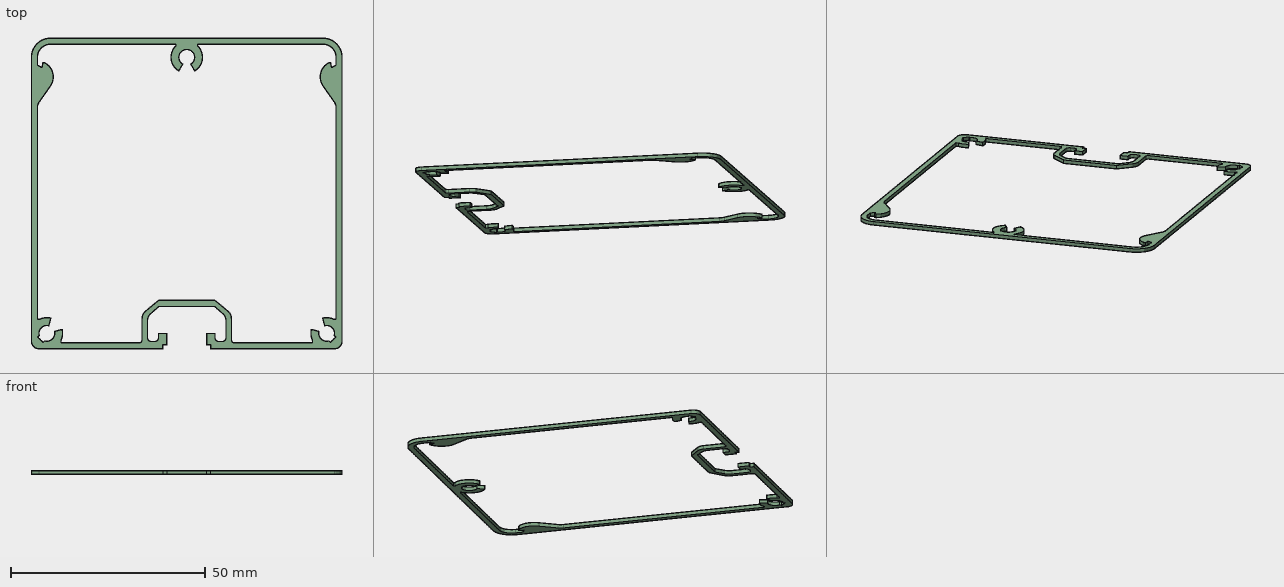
import cadquery as cq
import math

size = 80.0
thickness = 1.0
wall = 1.6
top_corner_radius = 5.0
bottom_corner_radius = 2.0

half = size / 2
inner = half - wall

port_bore_radius = 2.0
port_outer_radius = 4.1
port_opening_angle = 60.0
top_port_drop = 5.0
top_port_neck_width = 5.6
corner_port_inset = 4.0
corner_port_web = 7.7
corner_notch_width = 1.9
corner_notch_reach = 2.3

swell_radius = 4.1
swell_center_y = 30.0
swell_taper_angle = 35.0
swell_foot_radius = 2.4
hook_tip_y = 33.7
hook_tip_offset = 1.4
hook_valley_offset = 1.1
hook_valley_y = 32.4
hook_wall_y = 33.0

channel_half_width = 11.5
channel_height = 12.6
channel_side_wall = 1.4
channel_roof_wall = 1.7
channel_outer_chamfer = (4.3, 3.6)
channel_inner_chamfer = (2.9, 2.6)
channel_floor = 1.9
channel_floor_fillet = 1.0
channel_knee_fillet = 2.4
channel_root_fillet = 0.7
lip_inner_x = 5.1
lip_outer_x = 7.3
lip_height = 4.0
mouth_half_width = 6.2
mouth_step_height = 1.0

pick_margin = 0.01


def extrude(outline):
    """Turn a closed outline into a slab of the full thickness."""
    return outline.extrude(thickness)


def block(x_min, x_max, y_min, y_max):
    """Rectangular slab between the given limits."""
    outline = cq.Workplane("XY").center((x_min + x_max) / 2, (y_min + y_max) / 2)
    return extrude(outline.rect(x_max - x_min, y_max - y_min))


def disc(x, y, radius):
    return extrude(cq.Workplane("XY").center(x, y).circle(radius))


def prism(points):
    return extrude(cq.Workplane("XY").polyline(points).close())


def round_edges(solid, points, radius):
    """Fillet the upright edges that stand on the given points."""
    for x, y in points:
        near = cq.selectors.BoxSelector(
            (x - pick_margin, y - pick_margin, 0),
            (x + pick_margin, y + pick_margin, thickness),
        )
        solid = solid.edges(near).fillet(radius)
    return solid


def both_sides(solid):
    """Add the mirror image across X = 0."""
    return solid.union(solid.mirror("YZ"))


def make_plate():
    plate = block(-half, half, -half, half)
    plate = plate.edges("|Z and >Y").fillet(top_corner_radius)
    return plate.edges("|Z and <Y").fillet(bottom_corner_radius)


def make_frame():
    cavity = block(-inner, inner, -inner, inner)
    cavity = cavity.edges("|Z and >Y").fillet(top_corner_radius - wall)
    return make_plate().cut(cavity)


def port_cutter(x, y, opening_direction):
    """Bore plus the wedge that opens it; the direction is in degrees from +X."""
    reach = 2 * port_outer_radius
    points = [(x, y)]
    for side in (-1, 1):
        angle = math.radians(opening_direction + side * port_opening_angle / 2)
        points.append((x + reach * math.cos(angle), y + reach * math.sin(angle)))
    return disc(x, y, port_bore_radius).union(prism(points))


def add_top_port(body):
    y = half - top_port_drop
    neck = block(-top_port_neck_width / 2, top_port_neck_width / 2, y, half)
    port = disc(0, y, port_outer_radius).union(neck)
    return body.union(port).cut(port_cutter(0, y, -90))


def add_corner_ports(body):
    center = -half + corner_port_inset
    web_end = -half + corner_port_web
    port = disc(center, center, port_outer_radius)
    port = port.union(block(-half, center, -half, web_end))
    port = port.union(block(-half, web_end, -half, center))
    port = port.intersect(make_plate())
    notch = block(-corner_notch_reach, 0, -corner_notch_width / 2, corner_notch_width / 2)
    notch = notch.rotate((0, 0, 0), (0, 0, 1), 45).translate((center, center, 0))
    cutter = port_cutter(center, center, 45).union(notch)
    return body.union(both_sides(port)).cut(both_sides(cutter))


def add_swells(body):
    taper = math.radians(swell_taper_angle)
    flank_x = -inner + swell_radius * math.cos(taper)
    flank_y = swell_center_y - swell_radius * math.sin(taper)
    foot_y = flank_y - (flank_x + inner) / math.tan(taper)
    tip_x = -inner + math.sqrt(swell_radius**2 - (hook_tip_y - swell_center_y) ** 2)
    swell = extrude(
        cq.Workplane("XY")
        .moveTo(-half, foot_y)
        .lineTo(-inner, foot_y)
        .lineTo(flank_x, flank_y)
        .threePointArc((-inner + swell_radius, swell_center_y), (tip_x, hook_tip_y))
        .lineTo(-inner + hook_tip_offset, hook_tip_y)
        .lineTo(-inner + hook_valley_offset, hook_valley_y)
        .lineTo(-inner, hook_wall_y)
        .lineTo(-half, hook_wall_y)
        .close()
    )
    body = body.union(both_sides(swell))
    return round_edges(body, [(-inner, foot_y), (inner, foot_y)], swell_foot_radius)


def arch(half_width, bottom, top, chamfer):
    """Rectangle with its two upper corners cut off."""
    run, drop = chamfer
    points = [
        (-half_width, bottom),
        (-half_width, top - drop),
        (-half_width + run, top),
        (half_width - run, top),
        (half_width, top - drop),
        (half_width, bottom),
    ]
    knees = [points[1], points[4]]
    return round_edges(prism(points), knees, channel_knee_fillet)


def add_channel(body):
    top = -half + channel_height
    floor = -half + channel_floor
    step = -half + mouth_step_height
    room_half_width = channel_half_width - channel_side_wall

    body = body.union(arch(channel_half_width, -half, top, channel_outer_chamfer))
    roots = [(-channel_half_width, -inner), (channel_half_width, -inner)]
    body = round_edges(body, roots, channel_root_fillet)

    room = arch(room_half_width, floor, top - channel_roof_wall, channel_inner_chamfer)
    lip = block(-lip_outer_x, -lip_inner_x, floor, -half + lip_height)
    room = room.cut(both_sides(lip))
    floor_corners = [
        (side * x, floor) for side in (-1, 1) for x in (room_half_width, lip_outer_x)
    ]
    room = round_edges(room, floor_corners, channel_floor_fillet)

    slot = block(-lip_inner_x, lip_inner_x, -half, floor)
    mouth = block(-mouth_half_width, mouth_half_width, -half, step)
    return body.cut(room).cut(slot).cut(mouth)


body = make_frame()
body = add_top_port(body)
body = add_corner_ports(body)
body = add_swells(body)
result = add_channel(body)